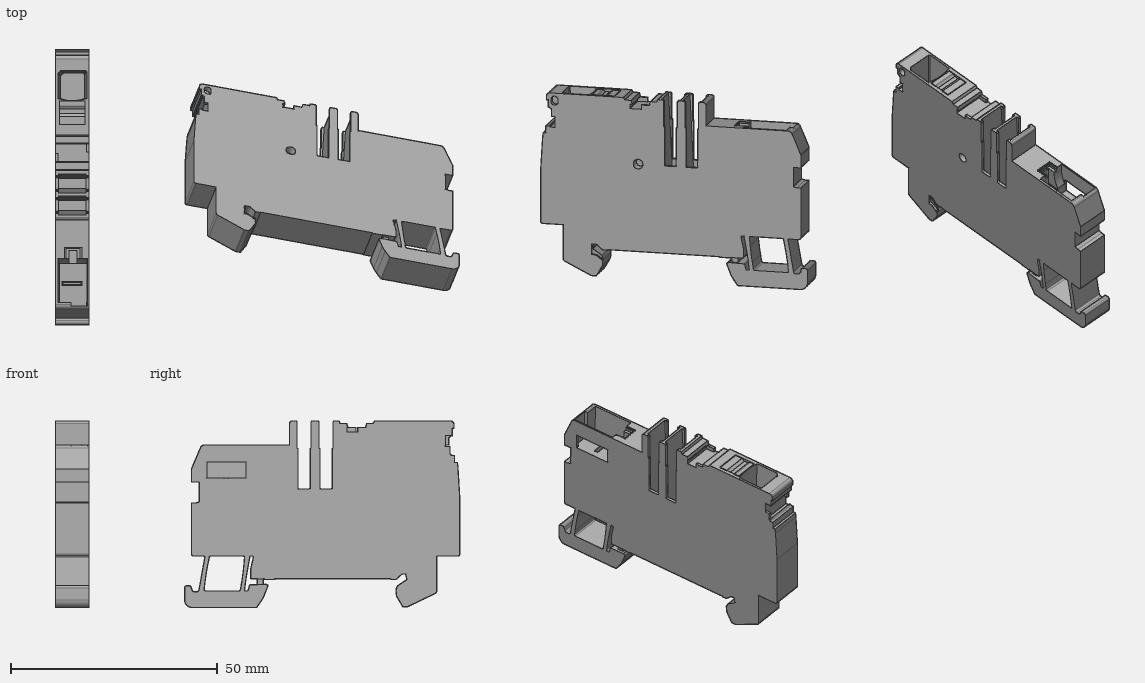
import cadquery as cq
import math

THICKNESS = 8.1
LENGTH = 66.55
HEIGHT = 45.1

SHOULDER_Z = 39.3
BELLY_Z = 12.45
RAIL_Z = 6.9
RAIL_PAD = 0.1
PLUG_END_Y = 1.65
PLUG_WALL_Y = 25.35
TOP_END_Y = 65.15
HOOK_BACK_Y = 60.95

FOOT_TOP_Z = 4.05
LEG_BOW = 59.9
LEG_OVERLAP = 0.85

CHEEK = 0.65

SLOT_FLOOR_Z = 28.7
SLOT_STEP_Z = 38.4
SLOT_MOUTH_Z = 38.6
SLOT_INNER_FLOOR_Z = 22.6
SLOT_CENTRES_Y = (28.9, 34.2)
SLOT_WIDTH = 2.9
SLOT_MOUTH_WIDTH = 3.3
SLOT_MOUTH_CHAMFER = 0.25
SLOT_INNER_FLOOR_WIDTH = 2.45
SLOT_INNER_MOUTH_WIDTH = 4.65
SLOT_INNER_EDGE = 0.7

SEAT_LENGTH = 5.0
SEAT_GAP = 0.3
TOP_SEAT_DEPTH = 1.05
END_SEAT_DEPTH = 1.2
TOP_SEAT_CENTRE_Y = 41.8
TOP_SEAT_FLOOR_Z = 42.45
END_SEAT_LOW_Z = 36.6
END_SEAT_FLOOR_Y = 63.0

FUNNEL_DEPTH = 10.0
FUNNEL_TAPER = 0.6
FUNNEL_BACK_Y = 61.4
FUNNEL_FRONT_Y = 54.7
FUNNEL_BULGE = 0.5
FUNNEL_NEAR_SIDE = 0.6
FUNNEL_FAR_SIDE = 0.5
FUNNEL_NEAR_CORNER = 0.65
FUNNEL_FAR_CORNER = 0.25

DRIVER_X = (1.0, 7.1)
DRIVER_DEPTH = 0.65
DRIVER_STEP = 0.2

POCKET_FLOOR_Z = 31.3
POCKET_X = (0.6, 7.8)
POCKET_DRAFT = 0.3
POCKET_FRONT_Y = 4.5
POCKET_BACK_Y = 16.1
POCKET_BACK_FOOT_Y = 14.85
SWEEP_TOP_Z = 37.7
SWEEP_LOW_Z = 33.8
SWEEP_SAG = 0.3
POCKET_KEY_X = 3.8
POCKET_KEY_Y = 5.4
WINDOW_TOP_Z = 35.15
CONTACT_SLOT_X = (1.5, 6.45)
CONTACT_SLOT_Y = (9.5, 10.5)
CONTACT_SLOT_DEPTH = 2.65
CONTACT_SLOT_TAPER = 6.0
LATCH_CENTRE_X = 4.25
LATCH_STEPS = ((4.2, 18.8, 0.3), (3.45, 18.45, 1.0), (2.0, 18.05, 6.0))

PIN_HOLE_Y = 42.25
PIN_HOLE_Z = 28.75
PIN_FLOOR_DIAMETER = 1.85
PIN_MOUTH_DIAMETER = 2.4
PIN_HOLE_DEPTH = 2.0
OVAL_HOLE_Y = 63.1
OVAL_HOLE_Z = 43.25
OVAL_HOLE_HEIGHT = 2.25
OVAL_HOLE_WIDTH = 1.7
OVAL_HOLE_DEPTH = 1.3


def block(x_range, y_range, z_range):
    """Axis-aligned box between the given limits."""
    size = [high - low for low, high in (x_range, y_range, z_range)]
    return cq.Workplane("XY").box(*size, centered=False).translate((x_range[0], y_range[0], z_range[0]))


def rounded_path(corners):
    """Closed YZ outline; a corner given as (y, z, radius) is rounded by a tangent arc."""
    path = None
    for index, (y, z, *radius) in enumerate(corners):
        corner = cq.Vector(y, z, 0)
        if not radius:
            stops = [corner]
        else:
            before = cq.Vector(*corners[index - 1][:2], 0)
            after = cq.Vector(*corners[(index + 1) % len(corners)][:2], 0)
            to_before = (before - corner).normalized()
            to_after = (after - corner).normalized()
            half_angle = to_before.getAngle(to_after) / 2
            setback = radius[0] / math.tan(half_angle)
            sagitta = radius[0] / math.sin(half_angle) - radius[0]
            middle = corner + (to_before + to_after).normalized() * sagitta
            stops = [corner + to_before * setback, middle, corner + to_after * setback]
        start = stops[0].toTuple()[:2]
        path = cq.Workplane("YZ").moveTo(*start) if path is None else path.lineTo(*start)
        if len(stops) == 3:
            path = path.threePointArc(stops[1].toTuple()[:2], stops[2].toTuple()[:2])
    return path.close()


def prism(corners, x_range=(0, THICKNESS)):
    """YZ outline extruded across the given X range."""
    return rounded_path(corners).extrude(x_range[1] - x_range[0]).translate((x_range[0], 0, 0))


def body():
    """Body plate with the fixed rail hook; slots and grooves are cut later."""
    foot_root = [(16.0, BELLY_Z), (16.0, RAIL_Z, 0.25)]
    pad_z = RAIL_Z - RAIL_PAD
    rail_face = [(19.2, RAIL_Z), (19.2, pad_z), (21.8, pad_z), (21.8, RAIL_Z),
                 (49.85, RAIL_Z), (49.85, pad_z), (51.1, pad_z)]
    hook = [(52.6, 8.1, 0.5), (53.4, 8.1), (53.7, 6.8), (51.45, 5.25, 0.4), (51.05, 4.3, 0.25),
            (51.2, 2.85, 0.3), (52.7, 0.2, 0.2), (53.9, 0.2, 0.3), (HOOK_BACK_Y, 3.6, 0.65)]
    wire_end = [(HOOK_BACK_Y, BELLY_Z), (LENGTH, BELLY_Z, 0.5), (LENGTH, 26.15), (66.1, 33.95),
                (65.95, 35.1), (65.3, 35.1), (65.3, 36.8), (64.55, 36.8, 0.25), (64.15, 37.2),
                (64.15, 39.25), (63.9, 39.25), (63.9, 41.05), (64.4, 41.5), (64.7, 41.5),
                (64.7, 43.3), (TOP_END_Y, 43.3)]
    marker_notch = [(45.9, HEIGHT), (45.5, 44.5), (44.0, 44.5), (43.7, 43.5),
                    (39.5, 43.5), (39.2, 44.5), (37.6, 44.5), (37.35, HEIGHT)]
    plug_end = [(PLUG_WALL_Y, HEIGHT, 0.65), (PLUG_WALL_Y, SHOULDER_Z), (4.1, SHOULDER_Z, 1.2),
                (PLUG_END_Y, 33.55), (PLUG_END_Y, 30.35), (3.5, 30.35), (3.5, 25.55),
                (2.65, 25.3), (PLUG_END_Y, 25.3), (PLUG_END_Y, BELLY_Z, 0.5)]
    top_corner = [(TOP_END_Y, HEIGHT, 0.9)]
    return prism(foot_root + rail_face + hook + wire_end + top_corner + marker_notch + plug_end)


def foot():
    """Release foot hung from the body on two slanted, slightly bowed spring legs."""
    root_z = BELLY_Z + LEG_OVERLAP
    toe = [(0, 0, 1.85), (0, 5.3, 0.5), (1.45, 5.3, 0.45), (2.0, 3.85, 0.5), (3.4, 3.85, 0.5)]
    leg_roots = [(4.9, BELLY_Z, 0.25), (4.25, BELLY_Z), (4.25, root_z), (16.0, root_z), (15.85, BELLY_Z)]
    heel = [(14.85, 6.9, LEG_BOW), (14.5, FOOT_TOP_Z, 0.2), (15.3, FOOT_TOP_Z, 0.1), (15.7, 5.5, 0.25),
            (19.6, 5.65), (20.2, 5.4, 0.2), (19.05, 2.3, 6.65), (17.45, 0, 0.2)]
    window = prism([(14.5, BELLY_Z, 0.3), (14.1, 8.1, LEG_BOW), (13.45, FOOT_TOP_Z, 0.4),
                    (4.7, FOOT_TOP_Z, 0.25), (5.2, 8.1, LEG_BOW), (6.05, BELLY_Z, 0.25)])
    rail_stop = block((CHEEK, THICKNESS - CHEEK), (17.6, 19.05), (5.3, RAIL_Z + LEG_OVERLAP))
    return prism(toe + leg_roots + heel).cut(window).union(rail_stop)


def spring_gap():
    """Top of the narrow gap between the body and the inner spring leg."""
    return prism([(16.6, BELLY_Z, 0.2), (15.85, BELLY_Z, 0.2), (15.3, 9.3), (16.0, 9.3), (16.6, 12.05)])


def hook_relief():
    """Wider throat of the rail hook within the near cheek."""
    return prism([(53.9, 8.1, 0.25), (53.9, 5.5), (52.7, 5.4, 0.5), (51.1, 4.2), (51.45, 5.6),
                  (53.7, 7.0), (53.4, 8.1)], (0, CHEEK))


def partition_slot(centre):
    """Slot stepped at the cheeks and drafted between them."""
    half = SLOT_WIDTH / 2
    mouth = SLOT_MOUTH_WIDTH / 2
    inner_floor = SLOT_INNER_FLOOR_WIDTH / 2
    inner = SLOT_INNER_MOUTH_WIDTH / 2
    stepped = prism([(centre - half, SLOT_FLOOR_Z, 0.25), (centre + half, SLOT_FLOOR_Z, 0.25),
                     (centre + half, SLOT_STEP_Z), (centre + mouth, SLOT_MOUTH_Z),
                     (centre + mouth, HEIGHT - SLOT_MOUTH_CHAMFER),
                     (centre + mouth + SLOT_MOUTH_CHAMFER, HEIGHT),
                     (centre - mouth - SLOT_MOUTH_CHAMFER, HEIGHT),
                     (centre - mouth, HEIGHT - SLOT_MOUTH_CHAMFER),
                     (centre - mouth, SLOT_MOUTH_Z), (centre - half, SLOT_STEP_Z)])
    drafted = prism([(centre - inner_floor, SLOT_INNER_FLOOR_Z), (centre + inner_floor, SLOT_INNER_FLOOR_Z),
                     (centre + inner, HEIGHT), (centre - inner, HEIGHT)],
                    (SLOT_INNER_EDGE, THICKNESS - SLOT_INNER_EDGE))
    return stepped.union(drafted)


def top_seat():
    """Marker groove across the top, its side walls staggered in Y."""
    low = TOP_SEAT_CENTRE_Y - SEAT_LENGTH / 2
    high = TOP_SEAT_CENTRE_Y + SEAT_LENGTH / 2
    levels = (TOP_SEAT_FLOOR_Z, TOP_SEAT_FLOOR_Z + TOP_SEAT_DEPTH)
    groove = block((0, THICKNESS), (low, high), levels)
    near_wall = block((0, CHEEK), (low, TOP_SEAT_CENTRE_Y - SEAT_GAP), levels)
    far_wall = block((THICKNESS - CHEEK, THICKNESS), (TOP_SEAT_CENTRE_Y, high), levels)
    return groove.cut(near_wall).cut(far_wall)


def end_seat():
    """Marker groove across the wire end, its side walls staggered in Z."""
    low = END_SEAT_LOW_Z
    middle = low + SEAT_LENGTH / 2 + SEAT_GAP / 2
    high = low + SEAT_LENGTH
    span = (END_SEAT_FLOOR_Y, END_SEAT_FLOOR_Y + END_SEAT_DEPTH)
    groove = block((0, THICKNESS), span, (low, high))
    near_wall = block((0, CHEEK), span, (middle, high))
    far_wall = block((THICKNESS - CHEEK, THICKNESS), span, (low, middle - SEAT_GAP))
    return groove.cut(near_wall).cut(far_wall)


def wire_funnel():
    """Tapered wire entry with cut back corners and a bulged front side."""
    def section(path, inset):
        near = FUNNEL_NEAR_SIDE + inset
        far = THICKNESS - FUNNEL_FAR_SIDE - inset
        back = FUNNEL_BACK_Y - inset
        return (path.moveTo(near, FUNNEL_FRONT_Y)
                .lineTo(near, back - FUNNEL_NEAR_CORNER)
                .lineTo(near + FUNNEL_NEAR_CORNER, back)
                .lineTo(far - FUNNEL_FAR_CORNER, back)
                .lineTo(far, back - FUNNEL_FAR_CORNER)
                .lineTo(far, FUNNEL_FRONT_Y)
                .threePointArc((THICKNESS / 2, FUNNEL_FRONT_Y - FUNNEL_BULGE), (near, FUNNEL_FRONT_Y))
                .close())
    floor = section(cq.Workplane("XY").workplane(offset=HEIGHT - FUNNEL_DEPTH), FUNNEL_TAPER)
    return section(floor.workplane(offset=FUNNEL_DEPTH), 0).loft(ruled=True)


def driver_recess():
    """Shallow screwdriver recess with a rounded lip and a valley."""
    shelf = HEIGHT - DRIVER_STEP
    valley = HEIGHT - DRIVER_DEPTH
    return prism([(54.1, HEIGHT), (54.1, shelf), (52.85, shelf, 0.25), (52.2, valley), (51.1, valley),
                  (50.3, shelf), (48.4, shelf), (48.4, HEIGHT)], DRIVER_X)


def plug_pocket():
    """Plug opening with drafted sides, a swept back wall, a coding step and a latch notch."""
    length_profile = (cq.Workplane("YZ").moveTo(POCKET_FRONT_Y, SHOULDER_Z)
                      .lineTo(POCKET_FRONT_Y, POCKET_FLOOR_Z)
                      .lineTo(POCKET_BACK_FOOT_Y, POCKET_FLOOR_Z)
                      .lineTo(POCKET_BACK_FOOT_Y, SWEEP_LOW_Z)
                      .threePointArc((POCKET_BACK_Y - SWEEP_SAG, (SWEEP_TOP_Z + SWEEP_LOW_Z) / 2),
                                     (POCKET_BACK_Y, SWEEP_TOP_Z))
                      .lineTo(POCKET_BACK_Y, SHOULDER_Z)
                      .close().extrude(THICKNESS))
    near, far = POCKET_X
    side_profile = (cq.Workplane("XZ")
                    .polyline([(near, SHOULDER_Z), (near + POCKET_DRAFT, POCKET_FLOOR_Z),
                               (far - POCKET_DRAFT, POCKET_FLOOR_Z), (far, SHOULDER_Z)])
                    .close().extrude(-LENGTH))
    key = block((0, POCKET_KEY_X), (POCKET_FRONT_Y, POCKET_KEY_Y), (POCKET_FLOOR_Z, SHOULDER_Z))
    window = block((THICKNESS / 2, THICKNESS), (POCKET_KEY_Y, POCKET_BACK_FOOT_Y),
                   (POCKET_FLOOR_Z, WINDOW_TOP_Z))
    low, high = CONTACT_SLOT_Y
    left, right = CONTACT_SLOT_X
    contact_slot = (cq.Workplane("XY").workplane(offset=POCKET_FLOOR_Z)
                    .center((left + right) / 2, (low + high) / 2).rect(right - left, high - low)
                    .extrude(-CONTACT_SLOT_DEPTH, taper=CONTACT_SLOT_TAPER))
    pocket = length_profile.intersect(side_profile).cut(key).union(window).union(contact_slot)
    for width, end, depth in LATCH_STEPS:
        half = width / 2
        step = block((LATCH_CENTRE_X - half, LATCH_CENTRE_X + half), (POCKET_BACK_FOOT_Y, end),
                     (SHOULDER_Z - depth, SHOULDER_Z))
        pocket = pocket.union(step)
    return pocket


def side_holes():
    """Tapered blind pin hole, and an oval blind hole near the top corner."""
    side = cq.Workplane("YZ")
    pin = (side.center(PIN_HOLE_Y, PIN_HOLE_Z).circle(PIN_MOUTH_DIAMETER / 2)
           .workplane(offset=PIN_HOLE_DEPTH).circle(PIN_FLOOR_DIAMETER / 2).loft())
    oval = (side.center(OVAL_HOLE_Y, OVAL_HOLE_Z)
            .slot2D(OVAL_HOLE_HEIGHT, OVAL_HOLE_WIDTH, 90).extrude(OVAL_HOLE_DEPTH))
    return pin.union(oval)


result = body().union(foot()).cut(spring_gap())
cutters = [hook_relief(), top_seat(), end_seat(), wire_funnel(), driver_recess(), plug_pocket(), side_holes()]
cutters += [partition_slot(centre) for centre in SLOT_CENTRES_Y]
for cutter in cutters:
    result = result.cut(cutter)